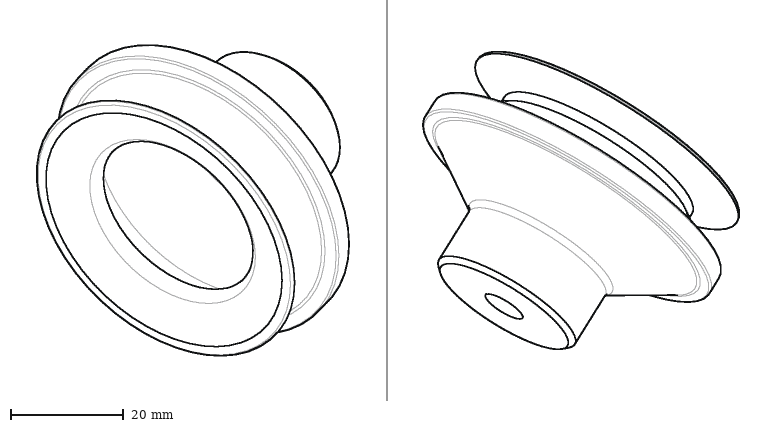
import cadquery as cq
import math


overall_length = 36.5

neck_radius = 14.2
neck_chamfer = 0.95
neck_fillet = 1.55
bore_radius = 3.85

flange_radius = 29.75
flange_front = 10.75
flange_back = 14.8
flange_edge_fillet = 0.35
flange_root_fillet = 1.0

upper_cone_radius = 27.3
upper_cone_slope = 1.4

lower_cone_radius = 26.7
groove_radius = 19.65
groove_front = 3.7
groove_back = 5.6

lip_radius = 27.2
lip_back = 0.7
lip_edge_fillet = 0.5
lip_mouth_radius = 25.0
lip_angle = 20

upper_wall = 3.8
lower_wall = 3.5
inner_fold_fillet = 2.0
seat_radius = 9.9
seat_fillet = 0.5

lip_slope = 1 / math.tan(math.radians(lip_angle))
lower_cone_slope = (lower_cone_radius - groove_radius) / (flange_front - groove_back)


def upper_cone_height(radius):
    """Height at which the upper cone has the given radius."""
    return flange_back + (upper_cone_radius - radius) / upper_cone_slope


def revolve_profile(points):
    """Revolve a closed (radius, height) outline about the Y axis."""
    return cq.Workplane("XY").polyline(points).close().revolve(360, (0, 0, 0), (0, 1, 0))


def round_rim(body, radius, height, fillet):
    """Fillet the circular edge that has the given radius and height."""
    tolerance = 0.005
    rims = body.edges("%CIRCLE").filter(
        lambda edge: abs(edge.radius() - radius) < tolerance
        and abs(edge.Center().y - height) < tolerance
    )
    return body.newObject(rims.vals()).fillet(fillet)


def make_outside():
    neck_base = upper_cone_height(neck_radius)
    body = revolve_profile([
        (0, 0),
        (lip_radius, 0),
        (lip_radius, lip_back),
        (groove_radius, groove_front),
        (groove_radius, groove_back),
        (lower_cone_radius, flange_front),
        (flange_radius, flange_front),
        (flange_radius, flange_back),
        (upper_cone_radius, flange_back),
        (neck_radius, neck_base),
        (neck_radius, overall_length),
        (0, overall_length),
    ])
    body = body.faces(">Y").edges().chamfer(neck_chamfer)
    body = round_rim(body, neck_radius, neck_base, neck_fillet)
    body = round_rim(body, flange_radius, flange_front, flange_edge_fillet)
    body = round_rim(body, flange_radius, flange_back, flange_edge_fillet)
    body = round_rim(body, lower_cone_radius, flange_front, flange_root_fillet)
    body = round_rim(body, upper_cone_radius, flange_back, flange_root_fillet)
    return round_rim(body, lip_radius, 0, lip_edge_fillet)


def make_cavity():
    lower_apex_radius = groove_radius - lower_wall - lower_cone_slope * groove_back
    throat_height = (lip_mouth_radius - lower_apex_radius) / (lip_slope + lower_cone_slope)
    throat_radius = lip_mouth_radius - lip_slope * throat_height
    upper_apex_radius = upper_cone_radius - upper_wall + upper_cone_slope * flange_back
    chamber_height = (upper_apex_radius - lower_apex_radius) / (upper_cone_slope + lower_cone_slope)
    chamber_radius = upper_apex_radius - upper_cone_slope * chamber_height
    seat_height = upper_cone_height(seat_radius + upper_wall)
    cavity = revolve_profile([
        (0, 0),
        (lip_mouth_radius, 0),
        (throat_radius, throat_height),
        (chamber_radius, chamber_height),
        (seat_radius, seat_height),
        (0, seat_height),
    ])
    cavity = round_rim(cavity, throat_radius, throat_height, inner_fold_fillet)
    cavity = round_rim(cavity, chamber_radius, chamber_height, inner_fold_fillet)
    return round_rim(cavity, seat_radius, seat_height, seat_fillet)


def make_bore():
    return revolve_profile([
        (0, 0),
        (bore_radius, 0),
        (bore_radius, overall_length),
        (0, overall_length),
    ])


result = make_outside().cut(make_cavity()).cut(make_bore())